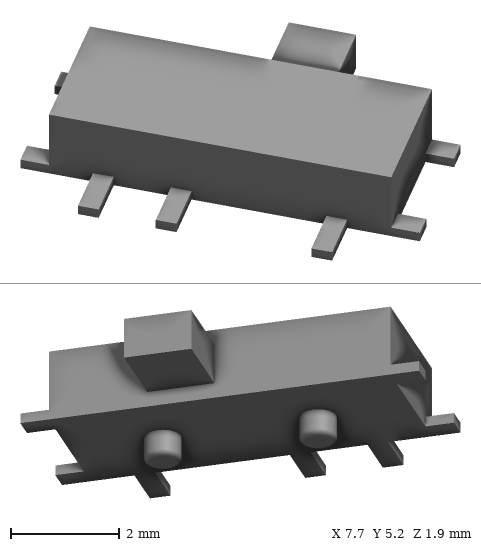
import cadquery as cq

housing_length = 6.6
housing_width = 2.7
housing_height = 1.4
front_face_y = -housing_width / 2
back_face_y = housing_width / 2

sheet_thickness = 0.2

tab_length = 0.55
tab_width = 0.43

peg_diameter = 0.7
peg_length = 0.5
peg_tip_radius = 0.1
peg_spacing = 3.0

terminal_width = 0.4
terminal_length = 1.0
terminal_pitch = 1.5
terminal_steps = (-1.5, -0.5, 1.5)

slider_width = 1.3
slider_length = 1.5
slider_height = 0.8
slider_bottom_z = 0.3
slider_x = terminal_pitch / 2


def make_block(size_x, size_y, size_z, center_x, center_y, bottom_z=0):
    """Box centred on a point in X and Y and standing on bottom_z."""
    block = cq.Workplane("XY").box(size_x, size_y, size_z, centered=(True, True, False))
    return block.translate((center_x, center_y, bottom_z))


def make_tab(side_x, side_y):
    """Corner tab on the given sides, flush with the front or back face."""
    center_x = side_x * (housing_length + tab_length) / 2
    center_y = side_y * (housing_width - tab_width) / 2
    return make_block(tab_length, tab_width, sheet_thickness, center_x, center_y)


def make_peg(center_x):
    """Locating peg hanging below the housing, with a rounded tip."""
    peg = cq.Workplane("XY").circle(peg_diameter / 2).extrude(-peg_length)
    peg = peg.faces("<Z").edges().fillet(peg_tip_radius)
    return peg.translate((center_x, 0, 0))


def make_housing():
    """Housing block in one piece with its tabs and pegs."""
    body = make_block(housing_length, housing_width, housing_height, 0, 0)
    for side_x in (-1, 1):
        for side_y in (-1, 1):
            body = body.union(make_tab(side_x, side_y))
        body = body.union(make_peg(side_x * peg_spacing / 2))
    return body


def make_terminal(center_x):
    """Flat terminal reaching forward from the front face."""
    center_y = front_face_y - terminal_length / 2
    return make_block(terminal_width, terminal_length, sheet_thickness, center_x, center_y)


def make_slider():
    """Knob reaching backward from the back face."""
    center_y = back_face_y + slider_length / 2
    return make_block(slider_width, slider_length, slider_height, slider_x, center_y, slider_bottom_z)


housing = make_housing()
slider = make_slider()
terminals = [make_terminal(step * terminal_pitch) for step in terminal_steps]

result = cq.Compound.makeCompound(
    [housing.solids().val(), slider.val(), *[terminal.val() for terminal in terminals]]
)